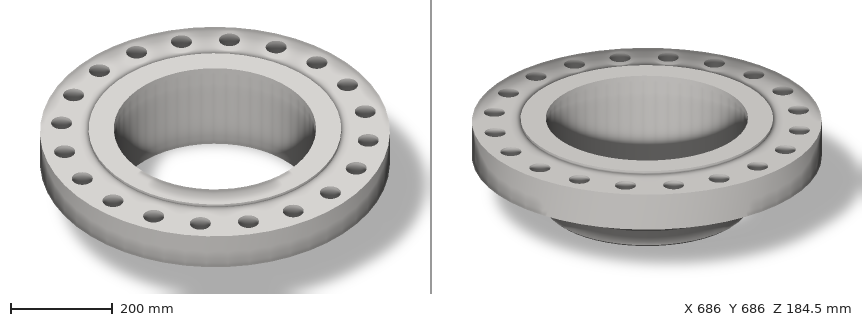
import cadquery as cq

flange_diameter = 686.0
flange_thickness = 75.5
bore_diameter = 396.5

face_diameter = 495.0
face_height = 7.0

total_height = 184.5
hub_diameter = 494.0
neck_diameter = 407.0
neck_height = 34.0
weld_chamfer_height = 4.0
weld_chamfer_width = 5.0

bolt_count = 20
bolt_circle_diameter = 603.5
bolt_hole_diameter = 41.0

flange_top = total_height - face_height
flange_bottom = flange_top - flange_thickness


def make_body():
    """Revolve the half section of the flange, hub and bore about Z."""
    bore_radius = bore_diameter / 2
    neck_radius = neck_diameter / 2
    profile = (
        cq.Workplane("XZ")
        .moveTo(bore_radius, 0)
        .lineTo(neck_radius - weld_chamfer_width, 0)
        .lineTo(neck_radius, weld_chamfer_height)
        .lineTo(neck_radius, neck_height)
        .lineTo(hub_diameter / 2, flange_bottom)
        .lineTo(flange_diameter / 2, flange_bottom)
        .lineTo(flange_diameter / 2, flange_top)
        .lineTo(face_diameter / 2, flange_top)
        .lineTo(face_diameter / 2, total_height)
        .lineTo(bore_radius, total_height)
        .close()
    )
    return profile.revolve(360, (0, 0, 0), (0, 1, 0))


def make_bolt_holes():
    """Cylinders through the disc, offset half a pitch from the X axis."""
    half_pitch_angle = 180 / bolt_count
    return (
        cq.Workplane("XY", origin=(0, 0, flange_bottom))
        .polarArray(bolt_circle_diameter / 2, half_pitch_angle, 360, bolt_count)
        .circle(bolt_hole_diameter / 2)
        .extrude(flange_thickness)
    )


result = make_body().cut(make_bolt_holes())